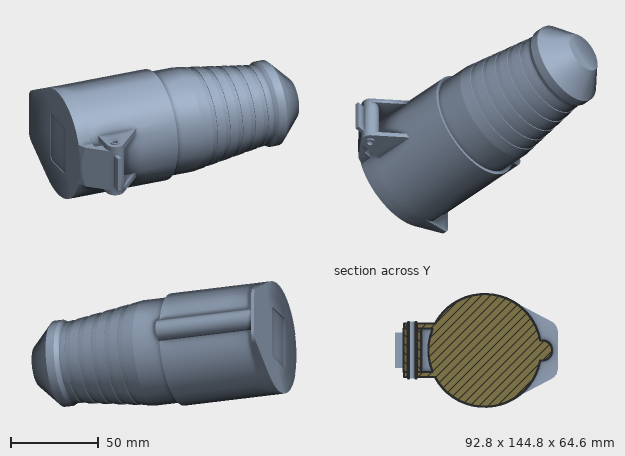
import cadquery as cq
import math

length = 144.8

shell_radius = 32.3
lid_depth = 7.7
housing_end = 60.7
rib_radius = 6.0
rib_reach = 38.5

lip_reach = 41.8
lip_half_width = 14.5
lip_corner_radius = 7.0
lip_thickness = 1.7
wedge_start = 16.2
label_width = 21.7
label_height = 30.3
label_corner_radius = 2.6
label_depth = 0.5

hinge_x = 41.3
hinge_y = 17.7
knuckle_radius = 5.0
knuckle_half_width = 12.3
ear_thickness = 3.0
ear_root_x = 27.5
ear_root_y = 37.3
arm_back_x = 35.2
arm_root_x = 26.0
relief_start = 31.7
relief_rise = 0.48
tab_reach = 51.0
tab_half_width = 10.1
tab_thickness = 2.2
tab_bottom = 15.2

pin_radius = 2.6
pin_bore_radius = 1.7
pin_overhang = 0.9

grip_radius = 30.3
sleeve_end = 77.3
neck_radius = 23.3
neck_y = 124.3
collar_radius = 24.8
collar_start = 127.0
collar_end = 131.9
tip_radius = 11.9
groove_count = 5
groove_pitch = 8.4
groove_width = 3.0
groove_depth = 0.5
first_groove_y = 84.0

ear_outer_z = knuckle_half_width + ear_thickness


def disc(radius, start, end):
    """Solid cylinder on the Y axis between two Y positions."""
    return cq.Workplane("XZ", origin=(0, start, 0)).circle(radius).extrude(start - end)


def ribbed_disc(start, end):
    """Stretch of the shell with its round rib on the -X side."""
    rib_center = rib_radius - rib_reach
    rib = cq.Workplane("XZ", origin=(rib_center, start, 0)).circle(rib_radius).extrude(start - end)
    return disc(shell_radius, start, end).union(rib)


def across(outline, z_from, z_to):
    """Extrude a closed XY outline between two Z levels."""
    return outline.extrude(z_to - z_from).translate((0, 0, z_from))


def knuckle_tangent(x, y, side):
    """Point where a line from (x, y) touches the knuckle circle, on its left (+1) or right (-1)."""
    distance = math.hypot(hinge_x - x, hinge_y - y)
    direction = math.atan2(y - hinge_y, x - hinge_x)
    angle = direction - side * math.acos(knuckle_radius / distance)
    return (hinge_x + knuckle_radius * math.cos(angle), hinge_y + knuckle_radius * math.sin(angle))


def hinge_bore():
    return (
        cq.Workplane("XY", origin=(hinge_x, hinge_y, -ear_outer_z))
        .circle(pin_radius)
        .extrude(2 * ear_outer_z)
    )


def make_ear(z_from):
    ear_bottom = hinge_y - knuckle_radius
    outline = (
        cq.Workplane("XY")
        .moveTo(ear_root_x, ear_bottom)
        .lineTo(hinge_x, ear_bottom)
        .threePointArc(
            (hinge_x + knuckle_radius, hinge_y), knuckle_tangent(ear_root_x, ear_root_y, 1)
        )
        .lineTo(ear_root_x, ear_root_y)
        .close()
    )
    return across(outline, z_from, z_from + ear_thickness)


def make_housing():
    housing = ribbed_disc(lid_depth, housing_end)
    for z_from in (knuckle_half_width, -ear_outer_z):
        housing = housing.union(make_ear(z_from))
    return housing.cut(hinge_bore())


def make_lip():
    """Tapering wing from the lid disc to the finger edge, its straight sides tangent to the disc."""
    corner_distance = math.hypot(lip_reach, lip_half_width)
    corner_angle = math.atan2(lip_half_width, lip_reach)
    tangent_angle = corner_angle + math.acos(shell_radius / corner_distance)
    tangent_x = -shell_radius * math.cos(tangent_angle)
    tangent_z = shell_radius * math.sin(tangent_angle)
    wing = (
        cq.Workplane("XZ")
        .polyline([
            (tangent_x, tangent_z),
            (-lip_reach, lip_half_width),
            (-lip_reach, -lip_half_width),
            (tangent_x, -tangent_z),
        ])
        .close()
        .extrude(-lid_depth)
        .edges("|Y and <X")
        .fillet(lip_corner_radius)
    )
    behind_slope = (
        cq.Workplane("XY")
        .polyline([(-lip_reach, lip_thickness), (-wedge_start, lid_depth), (-lip_reach, lid_depth)])
        .close()
    )
    return wing.cut(across(behind_slope, -shell_radius, shell_radius))


def make_arm():
    """Arm that reaches from the lid disc to the hinge knuckle, with the lever tab."""
    front_tangent = knuckle_tangent(shell_radius, 0, -1)
    outline = (
        cq.Workplane("XY")
        .moveTo(arm_root_x, 0)
        .lineTo(shell_radius, 0)
        .lineTo(*front_tangent)
        .threePointArc(
            (hinge_x, hinge_y + knuckle_radius), knuckle_tangent(arm_back_x, lid_depth, 1)
        )
        .lineTo(arm_back_x, lid_depth)
        .lineTo(arm_root_x, lid_depth)
        .close()
    )
    arm = across(outline, -knuckle_half_width, knuckle_half_width)
    tab = cq.Workplane("XY").box(
        tab_reach - hinge_x, tab_thickness, 2 * tab_half_width, centered=(False, False, True)
    ).translate((hinge_x, tab_bottom, 0))
    return arm.union(tab)


def make_arm_relief():
    """Conical cut across the width of the arm, around the front edge of the lid disc."""
    outer_radius = hinge_x
    cone = (
        cq.Workplane("XY")
        .polyline([
            (relief_start, 0),
            (outer_radius, 0),
            (outer_radius, relief_rise * (outer_radius - relief_start)),
        ])
        .close()
        .revolve(360, (0, 0, 0), (0, 1, 0))
    )
    arm_width = cq.Workplane("XY").box(
        outer_radius, outer_radius, 2 * knuckle_half_width, centered=(False, True, True)
    )
    return cone.intersect(arm_width)


def make_label_recess():
    return (
        cq.Workplane("XZ")
        .rect(label_width, label_height)
        .extrude(-label_depth)
        .edges("|Y")
        .fillet(label_corner_radius)
    )


def make_lid():
    lid = ribbed_disc(0, lid_depth).union(make_lip()).union(make_arm())
    return lid.cut(make_arm_relief()).cut(hinge_bore()).cut(make_label_recess())


def make_pin():
    """Hollow pin that stands out of both ears."""
    end_z = ear_outer_z + pin_overhang
    return (
        cq.Workplane("XY", origin=(hinge_x, hinge_y, -end_z))
        .circle(pin_radius)
        .circle(pin_bore_radius)
        .extrude(2 * end_z)
    )


def taper_radius(y):
    """Radius of the grip's tapered stretch."""
    return grip_radius + (neck_radius - grip_radius) * (y - sleeve_end) / (neck_y - sleeve_end)


def make_grip():
    profile = [(0, housing_end), (grip_radius, housing_end), (grip_radius, sleeve_end)]
    for i in range(groove_count):
        start = first_groove_y + i * groove_pitch
        end = start + groove_width
        profile += [
            (taper_radius(start), start),
            (taper_radius(start) - groove_depth, start),
            (taper_radius(end) - groove_depth, end),
            (taper_radius(end), end),
        ]
    profile += [
        (neck_radius, neck_y),
        (collar_radius, collar_start),
        (collar_radius, collar_end),
        (tip_radius, length),
        (0, length),
    ]
    return cq.Workplane("XY").polyline(profile).close().revolve(360, (0, 0, 0), (0, 1, 0))


housing = make_housing()
lid = make_lid()
hinge_pin = make_pin()
grip = make_grip()

result = cq.Compound.makeCompound([housing.val(), lid.val(), hinge_pin.val(), grip.val()])